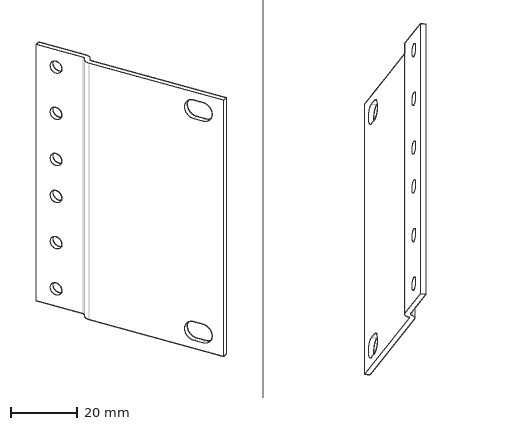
import cadquery as cq
import math

width = 66.7
depth = 4.1
height = 88.1
thickness = 1.8

left_flange_width = 16.3
bend_angle = math.radians(60)
inner_radius = 1.0
outer_radius = inner_radius + thickness

hole_diameter = 4.05
hole_x = 7.0
hole_pitch = 15.9
center_gap = 12.7
hole_heights = [
    height / 2 + side * (center_gap / 2 + step * hole_pitch)
    for side in (-1, 1)
    for step in range(3)
]
slot_length = 9.6
slot_width = 6.3
slot_x = 57.9
slot_heights = [min(hole_heights), max(hole_heights)]

offset = depth - thickness
bend_rise = (inner_radius + outer_radius) * (1 - math.cos(bend_angle))
slope_run = (offset - bend_rise) / math.tan(bend_angle)
joggle_run = (inner_radius + outer_radius) * math.sin(bend_angle) + slope_run
panel_x = left_flange_width + joggle_run
rear_center = (left_flange_width, offset - inner_radius)
front_center = (panel_x, thickness + inner_radius)


def rear_bend_point(radius, angle):
    """Point on the left bend, turned clockwise from its +Y direction."""
    return (
        rear_center[0] + radius * math.sin(angle),
        rear_center[1] + radius * math.cos(angle),
    )


def front_bend_point(radius, angle):
    """Point on the right bend, turned clockwise from its -Y direction."""
    return (
        front_center[0] - radius * math.sin(angle),
        front_center[1] - radius * math.cos(angle),
    )


def make_plate():
    """Bent sheet profile, extruded over the full height."""
    half_angle = bend_angle / 2
    return (
        cq.Workplane("XY")
        .moveTo(0, offset)
        .lineTo(left_flange_width, offset)
        .threePointArc(rear_bend_point(inner_radius, half_angle), rear_bend_point(inner_radius, bend_angle))
        .lineTo(*front_bend_point(outer_radius, bend_angle))
        .threePointArc(front_bend_point(outer_radius, half_angle), (panel_x, 0))
        .lineTo(width, 0)
        .lineTo(width, thickness)
        .lineTo(panel_x, thickness)
        .threePointArc(front_bend_point(inner_radius, half_angle), front_bend_point(inner_radius, bend_angle))
        .lineTo(*rear_bend_point(outer_radius, bend_angle))
        .threePointArc(rear_bend_point(outer_radius, half_angle), (left_flange_width, depth))
        .lineTo(0, depth)
        .close()
        .extrude(height)
    )


def make_hole_cutters():
    """Column of round holes through the left flange."""
    centers = [(hole_x, z) for z in hole_heights]
    return cq.Workplane("XZ").pushPoints(centers).circle(hole_diameter / 2).extrude(-depth)


def make_slot_cutters():
    """Horizontal slots level with the end holes, through the right panel."""
    centers = [(slot_x, z) for z in slot_heights]
    return cq.Workplane("XZ").pushPoints(centers).slot2D(slot_length, slot_width).extrude(-depth)


result = make_plate().cut(make_hole_cutters()).cut(make_slot_cutters())